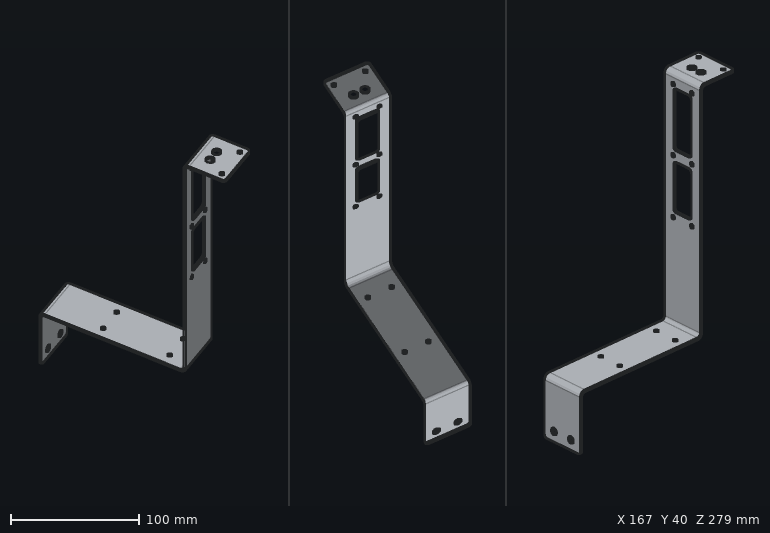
import cadquery as cq

sheet = 2.0
width = 40.0
total_length = 167.0
total_height = 279.0
bend_outer_radius = 5.0
bend_inner_radius = bend_outer_radius - sheet

shelf_top = 56.0
shelf_bottom = shelf_top - sheet
column_front = 130.0
column_back = column_front + sheet
top_underside = total_height - sheet

end_corner_radius = 2.5

screw_diameter = 3.5
foot_hole_diameter = 6.0
cable_hole_diameter = 7.0

foot_hole_height = 9.25
foot_hole_spacing = 19.0

shelf_hole_first_x = 52.0
shelf_hole_pitch = 60.0
screw_spacing = 21.0

window_width = 20.0
window_corner_radius = 3.0
upper_window_height = 55.0
lower_window_height = 45.0
screw_row_margin = 5.0
top_row_depth = 11.0
middle_row_depth = 74.0
top_row_z = total_height - top_row_depth
middle_row_z = total_height - middle_row_depth
upper_window_z = middle_row_z + screw_row_margin + upper_window_height / 2
lower_window_z = middle_row_z - screw_row_margin - lower_window_height / 2
bottom_row_z = lower_window_z - lower_window_height / 2 - screw_row_margin

cable_hole_setback = 21.75
cable_hole_x = total_length - cable_hole_setback
cable_hole_spacing = 10.2
flange_screw_setback = 6.0
flange_screw_x = total_length - flange_screw_setback
flange_screw_spacing = 28.0


def bent_strip():
    """Stepped side outline extruded across the width, with rounded bends."""
    strip = (
        cq.Workplane("XZ")
        .moveTo(0, 0)
        .lineTo(0, shelf_top)
        .lineTo(column_front, shelf_top)
        .lineTo(column_front, total_height)
        .lineTo(total_length, total_height)
        .lineTo(total_length, top_underside)
        .lineTo(column_back, top_underside)
        .lineTo(column_back, shelf_bottom)
        .lineTo(sheet, shelf_bottom)
        .lineTo(sheet, 0)
        .close()
        .extrude(width / 2, both=True)
    )
    outer_bends = [(0, shelf_top), (column_back, shelf_bottom), (column_front, total_height)]
    inner_bends = [(sheet, shelf_bottom), (column_front, shelf_top), (column_back, top_underside)]
    for corners, radius in ((outer_bends, bend_outer_radius), (inner_bends, bend_inner_radius)):
        for x, z in corners:
            strip = strip.edges(cq.selectors.NearestToPointSelector((x, 0, z))).fillet(radius)
    top_end = strip.faces(">X").edges("|Z")
    strip = top_end.fillet(end_corner_radius)
    foot_end = strip.faces("<Z").edges("|X")
    return foot_end.fillet(end_corner_radius)


def vertical_hole_pair(x, panel_bottom, spacing, diameter):
    """Cutter for two holes through a horizontal panel, symmetric about the centre line."""
    return (
        cq.Workplane("XY", origin=(x, 0, panel_bottom))
        .pushPoints([(0, -spacing / 2), (0, spacing / 2)])
        .circle(diameter / 2)
        .extrude(sheet)
    )


def horizontal_hole_pair(panel_front, z, spacing, diameter):
    """Cutter for two holes through an upright panel, symmetric about the centre line."""
    return (
        cq.Workplane("YZ", origin=(panel_front, 0, z))
        .pushPoints([(-spacing / 2, 0), (spacing / 2, 0)])
        .circle(diameter / 2)
        .extrude(sheet)
    )


def column_window(z, height):
    """Cutter for a rounded rectangular window through the column, centred at height z."""
    return (
        cq.Workplane("YZ", origin=(column_front, 0, z))
        .rect(window_width, height)
        .extrude(sheet)
        .edges("|X")
        .fillet(window_corner_radius)
    )


result = bent_strip()

result = result.cut(horizontal_hole_pair(0, foot_hole_height, foot_hole_spacing, foot_hole_diameter))

for hole_x in (shelf_hole_first_x, shelf_hole_first_x + shelf_hole_pitch):
    result = result.cut(vertical_hole_pair(hole_x, shelf_bottom, screw_spacing, screw_diameter))

for row_z in (top_row_z, middle_row_z, bottom_row_z):
    result = result.cut(horizontal_hole_pair(column_front, row_z, screw_spacing, screw_diameter))
result = result.cut(column_window(upper_window_z, upper_window_height))
result = result.cut(column_window(lower_window_z, lower_window_height))

result = result.cut(
    vertical_hole_pair(cable_hole_x, top_underside, cable_hole_spacing, cable_hole_diameter)
)
result = result.cut(
    vertical_hole_pair(flange_screw_x, top_underside, flange_screw_spacing, screw_diameter)
)